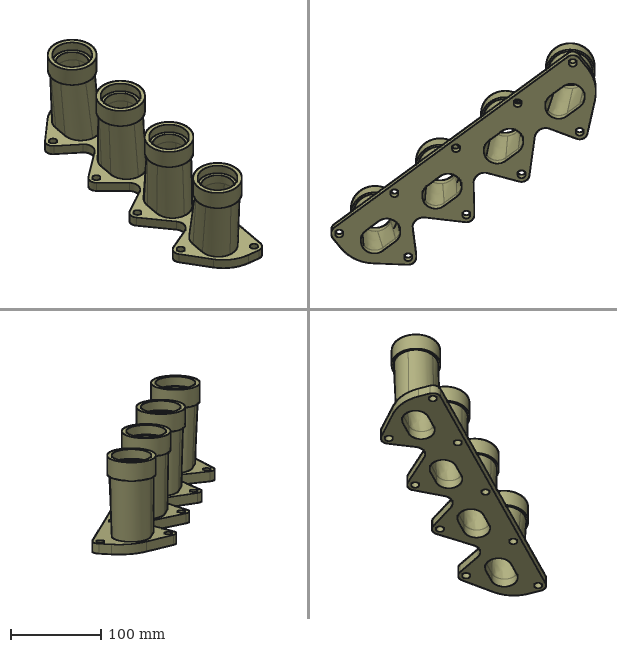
import cadquery as cq
import math

plate_length = 345.0
plate_thickness = 11.7
back_edge = 39.3
bolt_diameter = 9.0
lug_radius = 9.0
back_bolt_y = back_edge - lug_radius
end_bolt_x = plate_length / 2 - lug_radius
back_bolt_x = 86.2
front_bolt_y = -38.3
outer_lug_x = 120.0
inner_lug_x = 38.5

end_round_radius = 47.3
end_round_x = plate_length / 2 - end_round_radius
end_round_y = 16.2

scallop_top = -9.3
scallop_radius = 12.0
scallop_y = scallop_top - scallop_radius
side_scallop_x = 85.5

total_height = 105.0
collar_height = 21.5
collar_base = total_height - collar_height
collar_diameter = 54.0
socket_diameter = 44.0
socket_depth = 10.7
bore_diameter = 37.0
runner_spacing = 91.0

runner_top_diameter = 49.7
runner_base_length = 61.5
runner_base_width = 43.8
wall = 7.0
port_length = runner_base_length - 2 * wall
port_width = runner_base_width - 2 * wall

inner_collar_x = runner_spacing / 2
outer_collar_x = inner_collar_x + runner_spacing
inner_port_x = 43.0
outer_port_x = 129.0
runners = [
    (-outer_collar_x, -outer_port_x),
    (-inner_collar_x, -inner_port_x),
    (inner_collar_x, inner_port_x),
    (outer_collar_x, outer_port_x),
]


def tangent_normal(first, second):
    """Outward normal of the line tangent to two rounds of a counter-clockwise outline."""
    dx = second[0] - first[0]
    dy = second[1] - first[1]
    turn = math.acos((first[2] - second[2]) / math.hypot(dx, dy))
    return math.atan2(dy, dx) - turn


def point_on(circle, angle):
    x, y, radius = circle
    return (x + radius * math.cos(angle), y + radius * math.sin(angle))


def tangent_outline(rounds):
    """Closed wire of arcs joined by tangent lines; a negative radius makes a concave arc."""
    count = len(rounds)
    normals = [tangent_normal(rounds[i], rounds[(i + 1) % count]) for i in range(count)]
    outline = cq.Workplane("XY").moveTo(*point_on(rounds[-1], normals[-1]))
    for i, circle in enumerate(rounds):
        arrive = normals[i - 1]
        leave = normals[i]
        sweep = math.remainder(leave - arrive, 2 * math.pi)
        outline = outline.lineTo(*point_on(circle, arrive))
        outline = outline.threePointArc(point_on(circle, arrive + sweep / 2), point_on(circle, leave))
    return outline.close()


def flange():
    rounds = [
        (-end_bolt_x, back_bolt_y, lug_radius),
        (-end_round_x, end_round_y, end_round_radius),
        (-outer_lug_x, front_bolt_y, lug_radius),
        (-side_scallop_x, scallop_y, -scallop_radius),
        (-inner_lug_x, front_bolt_y, lug_radius),
        (0, scallop_y, -scallop_radius),
        (inner_lug_x, front_bolt_y, lug_radius),
        (side_scallop_x, scallop_y, -scallop_radius),
        (outer_lug_x, front_bolt_y, lug_radius),
        (end_round_x, end_round_y, end_round_radius),
        (end_bolt_x, back_bolt_y, lug_radius),
    ]
    back_bolts = [(x, back_bolt_y) for x in (-end_bolt_x, -back_bolt_x, 0, back_bolt_x, end_bolt_x)]
    front_bolts = [(x, front_bolt_y) for x in (-outer_lug_x, -inner_lug_x, inner_lug_x, outer_lug_x)]
    plate = tangent_outline(rounds).extrude(plate_thickness)
    bolt_holes = cylinders(back_bolts + front_bolts, bolt_diameter, 0, plate_thickness)
    return plate.cut(bolt_holes)


def cylinders(centres, diameter, bottom, top):
    plane = cq.Workplane("XY").workplane(offset=bottom)
    return plane.pushPoints(centres).circle(diameter / 2).extrude(top - bottom)


def leaning_tube(collar_x, port_x, length, width, top_diameter):
    """Solid lofted from an obround on the plate to a circle under the collar."""
    return (
        cq.Workplane("XY", origin=(port_x, 0, plate_thickness))
        .slot2D(length, width)
        .workplane(offset=collar_base - plate_thickness)
        .center(collar_x - port_x, 0)
        .circle(top_diameter / 2)
        .loft(ruled=True)
    )


def runner_body(collar_x, port_x):
    tube = leaning_tube(collar_x, port_x, runner_base_length, runner_base_width, runner_top_diameter)
    collar = cylinders([(collar_x, 0)], collar_diameter, collar_base, total_height)
    return tube.union(collar)


def runner_passage(collar_x, port_x):
    port = cq.Workplane("XY").center(port_x, 0).slot2D(port_length, port_width).extrude(plate_thickness)
    tube = leaning_tube(collar_x, port_x, port_length, port_width, bore_diameter)
    bore = cylinders([(collar_x, 0)], bore_diameter, collar_base, total_height)
    socket = cylinders([(collar_x, 0)], socket_diameter, total_height - socket_depth, total_height)
    return port.union(tube).union(bore).union(socket)


result = flange()
for collar_x, port_x in runners:
    result = result.union(runner_body(collar_x, port_x))
for collar_x, port_x in runners:
    result = result.cut(runner_passage(collar_x, port_x))